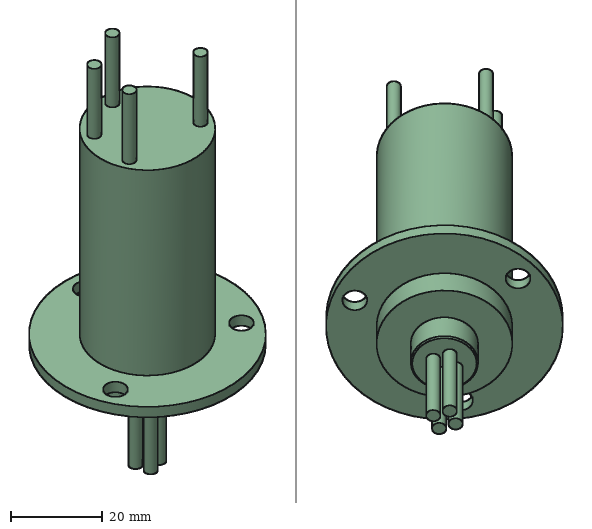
import cadquery as cq
import math

lower_pin_length = 20.0
hub_length = 7.0
collar_length = 6.1
flange_thickness = 2.9
barrel_length = 57.4
upper_pin_length = 19.5

hub_diameter = 14.8
barrel_diameter = 29.8
flange_diameter = 52.0
hub_edge_chamfer = 0.3

hole_diameter = 5.4
hole_circle_radius = 21.0
hole_angles = [60, 180, 300]

upper_pin_diameter = 3.2
upper_pin_circle_radius = 11.9
upper_pin_angles = [60, 180, 240, 300]
lower_pin_diameter = 3.2
lower_pin_circle_radius = 2.7
lower_pin_angles = [65, 155, 245, 335]

hub_bottom = lower_pin_length
collar_bottom = hub_bottom + hub_length
flange_bottom = collar_bottom + collar_length
flange_top = flange_bottom + flange_thickness
barrel_top = flange_top + barrel_length


def cylinder(diameter, bottom, height):
    """Cylinder on the main axis, rising from the given height."""
    return cq.Workplane("XY").workplane(offset=bottom).circle(diameter / 2).extrude(height)


def cylinder_ring(diameter, circle_radius, angles, bottom, height):
    """Upright cylinders placed at the given angles around the main axis."""
    centers = []
    for angle in angles:
        turn = math.radians(angle)
        centers.append((circle_radius * math.cos(turn), circle_radius * math.sin(turn)))
    base = cq.Workplane("XY").workplane(offset=bottom)
    return base.pushPoints(centers).circle(diameter / 2).extrude(height)


hub = cylinder(hub_diameter, hub_bottom, hub_length).faces("<Z").chamfer(hub_edge_chamfer)
barrel = cylinder(barrel_diameter, collar_bottom, barrel_top - collar_bottom)
flange = cylinder(flange_diameter, flange_bottom, flange_thickness)
mounting_holes = cylinder_ring(
    hole_diameter, hole_circle_radius, hole_angles, flange_bottom, flange_thickness
)
body = hub.union(barrel).union(flange.cut(mounting_holes))

upper_pins = cylinder_ring(
    upper_pin_diameter, upper_pin_circle_radius, upper_pin_angles, barrel_top, upper_pin_length
)
lower_pins = cylinder_ring(
    lower_pin_diameter, lower_pin_circle_radius, lower_pin_angles, 0, lower_pin_length
)
result = body.union(upper_pins).union(lower_pins)